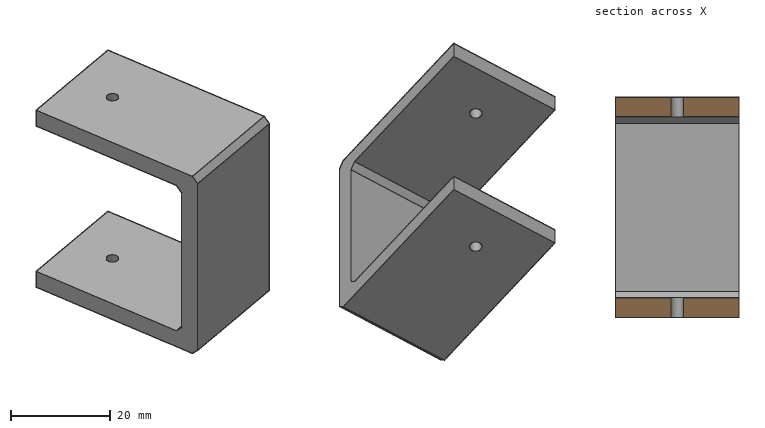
import cadquery as cq

length = 40.0
width = 25.0
height = 44.5

wall = 4.0
corner_chamfer = 1.3
hole_diameter = 2.5
hole_from_open_end = 10.0


def chamfered_block(x_size, z_size):
    """Full-width block from the open end, with its two closed-end corners chamfered."""
    block = cq.Workplane("XY").box(x_size, width, z_size, centered=(False, True, True))
    return block.edges(">X and |Y").chamfer(corner_chamfer)


body = chamfered_block(length, height)
opening = chamfered_block(length - wall, height - 2 * wall)

flange_holes = (
    cq.Workplane("XY", origin=(hole_from_open_end, 0, -height / 2))
    .circle(hole_diameter / 2)
    .extrude(height)
)

result = body.cut(opening).cut(flange_holes)